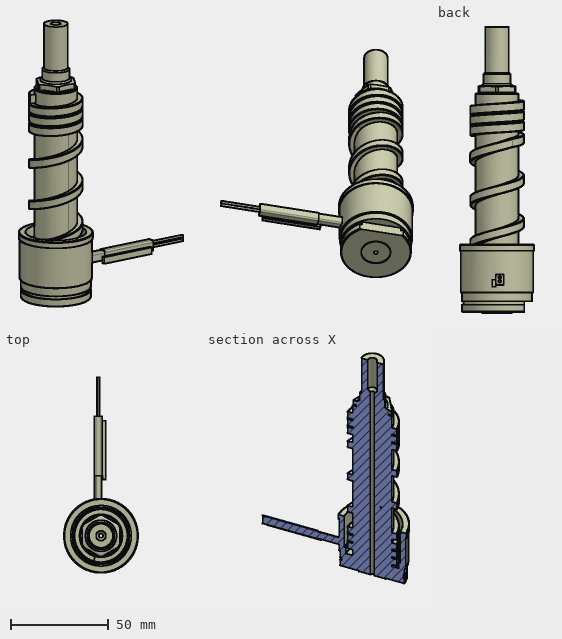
import cadquery as cq
import math

TOTAL_HEIGHT = 146.0

FOOT_DIAMETER = 15.0
FOOT_HEIGHT = 0.4
BASE_DIAMETER = 36.0
GROOVE_DIAMETER = 34.4
GROOVE_BOTTOM = 4.35
GROOVE_TOP = 6.0
BODY_DIAMETER = 37.2
BODY_BOTTOM = 10.3
FLANGE_DIAMETER = 38.0
FLANGE_BOTTOM = 31.9
HOUSING_TOP = 35.1
HOUSING_CHAMFER = 0.4
BASE_FLAT_OFFSET = 14.0
CUP_DIAMETER = 31.0
CUP_FLOOR = 10.0
SPRING_SEAT_DIAMETER = 29.2
SPRING_SEAT_LEDGE = 14.0

SLEEVE_DIAMETER = 22.0
SLEEVE_TOP = 112.2
SLEEVE_CHAMFER = 0.5
NUT_ACROSS_FLATS = 19.0
NUT_CORNER_DIAMETER = 21.3
NUT_BOTTOM = SLEEVE_TOP + 0.4
NUT_TOP = 116.1
NUT_RIM = 115.4
NUT_SEAT_DIAMETER = 18.0
COLLAR_DIAMETER = 14.0
COLLAR_FOOT_DIAMETER = 16.0
COLLAR_FOOT_TOP = 117.0
COLLAR_TOP = 122.6
COLLAR_CHAMFER = 0.8
SHAFT_DIAMETER = 12.2
SHAFT_BORE_DIAMETER = 5.0
SHAFT_BORE_DEPTH = 20.0
THROUGH_HOLE_DIAMETER = 2.0

SPRING_OUTER_DIAMETER = 27.6
SPRING_INNER_DIAMETER = SLEEVE_DIAMETER - 0.6
SPRING_BAND_HEIGHT = 4.6
CLOSED_PITCH = 5.25
CLOSED_TURNS = 3.04
OPEN_PITCH = 22.0
TRANSITION_TURNS = 0.32
SPRING_EDGE_CHAMFER = 0.35
SPRING_END_ANGLE = 254.0
SPRING_SEAT_DEPTH = 0.3
SPRING_TOP = 109.4

CABLE_X = -1.4
CABLE_Z = 17.05
CABLE_WIDTH = 3.8
CABLE_HEIGHT = 5.1
CABLE_ROOT_Y = 17.0
SHEATH_WIDTH = 4.2
SHEATH_HEIGHT = 5.7
SHEATH_START_Y = 30.5
SHEATH_END_Y = 61.0
CABLE_CORNER_RADIUS = 0.8
WIRE_DIAMETER = 1.4
WIRE_PAIR_Z = 17.25
WIRE_SPACING = 2.1
WIRE_END_Y = 81.0
TAG_WIDTH = 1.8
TAG_BOTTOM = 13.5
TAG_TOP = 17.0
TAG_START_Y = 28.7
TAG_END_Y = 58.8


def cylinder(diameter, bottom, top):
    return cq.Workplane("XY").workplane(offset=bottom).circle(diameter / 2).extrude(top - bottom)


def cone(bottom_diameter, top_diameter, bottom, top):
    lower = cq.Workplane("XY").workplane(offset=bottom).circle(bottom_diameter / 2)
    return lower.workplane(offset=top - bottom).circle(top_diameter / 2).loft()


def bar_along_y(width, height, center_x, center_z, start_y, end_y):
    bar = cq.Workplane("XY").box(width, end_y - start_y, height)
    return bar.translate((center_x, (start_y + end_y) / 2, center_z))


def make_housing():
    foot = cylinder(FOOT_DIAMETER, 0, FOOT_HEIGHT)
    base = cylinder(BASE_DIAMETER, FOOT_HEIGHT, GROOVE_BOTTOM).faces("<Z").chamfer(HOUSING_CHAMFER)
    groove = cylinder(GROOVE_DIAMETER, GROOVE_BOTTOM, GROOVE_TOP)
    flat_cut = cq.Workplane("XY").box(
        BASE_DIAMETER, BASE_DIAMETER, GROOVE_TOP, centered=(False, True, False)
    ).translate((-BASE_FLAT_OFFSET - BASE_DIAMETER, 0, 0))
    base = base.union(groove).cut(flat_cut)
    waist = cylinder(BASE_DIAMETER, GROOVE_TOP, BODY_BOTTOM)
    body = cylinder(BODY_DIAMETER, BODY_BOTTOM, FLANGE_BOTTOM).faces("<Z").chamfer(HOUSING_CHAMFER)
    flange = cylinder(FLANGE_DIAMETER, FLANGE_BOTTOM, HOUSING_TOP).faces(">Z").chamfer(HOUSING_CHAMFER)
    housing = foot.union(base).union(waist).union(body).union(flange)
    cup = cylinder(CUP_DIAMETER, SPRING_SEAT_LEDGE, HOUSING_TOP)
    spring_seat = cylinder(SPRING_SEAT_DIAMETER, CUP_FLOOR, SPRING_SEAT_LEDGE)
    return housing.cut(cup).cut(spring_seat)


def make_nut():
    height = NUT_TOP - NUT_BOTTOM
    across_corners = NUT_ACROSS_FLATS / math.cos(math.pi / 6)
    hexagon = cq.Workplane("XY").polygon(6, across_corners).extrude(height)
    hexagon = hexagon.rotate((0, 0, 0), (0, 0, 1), 30).translate((0, 0, NUT_BOTTOM))
    envelope = cylinder(NUT_CORNER_DIAMETER, NUT_BOTTOM, NUT_RIM)
    envelope = envelope.union(cone(NUT_CORNER_DIAMETER, COLLAR_FOOT_DIAMETER, NUT_RIM, NUT_TOP))
    return hexagon.intersect(envelope)


def make_spindle():
    sleeve = cylinder(SLEEVE_DIAMETER, CUP_FLOOR, SLEEVE_TOP).faces(">Z").chamfer(SLEEVE_CHAMFER)
    nut_seat = cylinder(NUT_SEAT_DIAMETER, SLEEVE_TOP, NUT_BOTTOM)
    collar_foot = cone(COLLAR_FOOT_DIAMETER, COLLAR_DIAMETER, NUT_TOP, COLLAR_FOOT_TOP)
    collar = cylinder(COLLAR_DIAMETER, COLLAR_FOOT_TOP, COLLAR_TOP).faces(">Z").chamfer(COLLAR_CHAMFER)
    shaft = cylinder(SHAFT_DIAMETER, COLLAR_TOP, TOTAL_HEIGHT)
    return sleeve.union(nut_seat).union(make_nut()).union(collar_foot).union(collar).union(shaft)


def helical_band(pitch, turns, start_angle, center_z):
    """Band rising from center_z at start_angle (degrees), wound right-handed about Z."""
    inner = SPRING_INNER_DIAMETER / 2
    outer = SPRING_OUTER_DIAMETER / 2
    half_height = SPRING_BAND_HEIGHT / 2
    chamfer_start = outer - SPRING_EDGE_CHAMFER
    edge_height = half_height - SPRING_EDGE_CHAMFER
    section = cq.Workplane("XZ").polyline([
        (inner, -half_height), (chamfer_start, -half_height), (outer, -edge_height),
        (outer, edge_height), (chamfer_start, half_height), (inner, half_height),
    ]).close()
    path = cq.Wire.makeHelix(pitch, pitch * turns, (inner + outer) / 2)
    band = section.sweep(cq.Workplane(path), isFrenet=True)
    return band.rotate((0, 0, 0), (0, 0, 1), start_angle).translate((0, 0, center_z))


def make_spring_lengths():
    """Lengths from the top down: closed, transition, open, transition, closed and seated in the cup floor."""
    transition_pitch = (CLOSED_PITCH + OPEN_PITCH) / 2
    spring_rise = SPRING_TOP - (CUP_FLOOR - SPRING_SEAT_DEPTH) - SPRING_BAND_HEIGHT
    end_rise = CLOSED_PITCH * CLOSED_TURNS + transition_pitch * TRANSITION_TURNS
    open_turns = (spring_rise - 2 * end_rise) / OPEN_PITCH
    lengths = [
        (CLOSED_PITCH, CLOSED_TURNS),
        (transition_pitch, TRANSITION_TURNS),
        (OPEN_PITCH, open_turns),
        (transition_pitch, TRANSITION_TURNS),
        (CLOSED_PITCH, CLOSED_TURNS),
    ]
    bands = []
    angle = SPRING_END_ANGLE
    center_z = SPRING_TOP - SPRING_BAND_HEIGHT / 2
    for pitch, turns in lengths:
        angle -= 360 * turns
        center_z -= pitch * turns
        bands.append(helical_band(pitch, turns, angle, center_z))
    return bands


def make_cable():
    cable = bar_along_y(CABLE_WIDTH, CABLE_HEIGHT, CABLE_X, CABLE_Z, CABLE_ROOT_Y, SHEATH_START_Y)
    sheath = bar_along_y(SHEATH_WIDTH, SHEATH_HEIGHT, CABLE_X, CABLE_Z, SHEATH_START_Y, SHEATH_END_Y)
    cable = cable.edges("|Y").fillet(CABLE_CORNER_RADIUS)
    sheath = sheath.edges("|Y").fillet(CABLE_CORNER_RADIUS)
    tag = bar_along_y(
        TAG_WIDTH, TAG_TOP - TAG_BOTTOM, CABLE_X + SHEATH_WIDTH / 2 + TAG_WIDTH / 2,
        (TAG_BOTTOM + TAG_TOP) / 2, TAG_START_Y, TAG_END_Y,
    )
    cable = cable.union(sheath).union(tag)
    for side in (-1, 1):
        wire = cq.Workplane("XZ").circle(WIRE_DIAMETER / 2).extrude(SHEATH_END_Y - WIRE_END_Y)
        wire = wire.translate((CABLE_X, SHEATH_END_Y, WIRE_PAIR_Z + side * WIRE_SPACING / 2))
        cable = cable.union(wire)
    return cable


def make_bores():
    """Axial hole right through, widened at the shaft end by a bore with a conical bottom."""
    bore_bottom = TOTAL_HEIGHT - SHAFT_BORE_DEPTH
    cone_height = (SHAFT_BORE_DIAMETER - THROUGH_HOLE_DIAMETER) / 2
    through = cylinder(THROUGH_HOLE_DIAMETER, 0, TOTAL_HEIGHT)
    bore = cylinder(SHAFT_BORE_DIAMETER, bore_bottom, TOTAL_HEIGHT)
    drill_point = cone(THROUGH_HOLE_DIAMETER, SHAFT_BORE_DIAMETER, bore_bottom - cone_height, bore_bottom)
    return through.union(bore).union(drill_point)


result = make_housing().union(make_spindle())
for band in make_spring_lengths():
    result = result.union(band)
result = result.union(make_cable())
result = result.cut(make_bores())